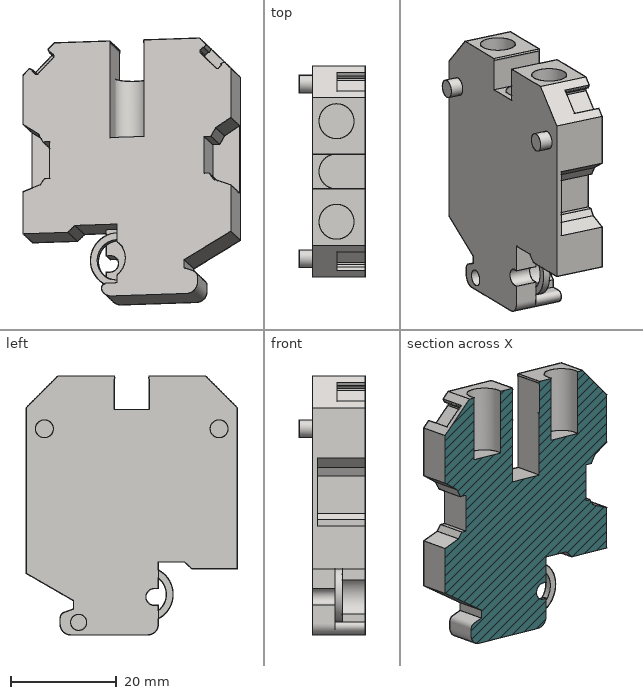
import cadquery as cq
import math

body_width = 10.0
height = 49.0
half_length = 20.0
top_chamfer = 6.05

notch_half = 3.3
notch_floor = 42.7
bead_height = 0.7
bead_reach = 0.1

front_bottom = 12.5
front_bottom_inner = -11.35
rail_ceiling = 13.75
rail_ceiling_end = -10.0
foot_front = -5.05
foot_back = 13.55
foot_corner_radius = 2.05
hook_neck = 11.02
hook_top = 4.95
hook_slope = 20.0
hook_corner_radius = 1.22
rear_slope = 30.0
rear_wall_bottom = 11.65

peg_diameter = 3.4
peg_length = 2.5
peg_offset = 16.5
peg_z = 39.0
foot_hole_diameter = 3.05
foot_hole_y = 10.05
foot_hole_z = 2.4

well_x = 4.55
well_diameter = 6.6
well_offset = 9.5
well_depth = 12.25

label_start = 4.65
label_width = 5.0
label_depth = 1.9
label_barb_depth = 0.75
label_barb_reach = 0.25
label_floor_chamfer = 0.25

entry_start = 1.0
entry_bottom = 20.6
entry_top = 33.5
entry_lead_in_rise = 1.22
entry_lead_in_drop = 1.85
entry_throat_bottom = 23.0
entry_throat_top = 30.05
entry_floor_bend = 3.35
entry_floor_throat = 4.15
entry_roof_bend = 2.9
entry_roof_throat = 3.8
entry_depth = 5.15

slot_y = -4.25
slot_z = 7.2
slot_radius = 1.55
ring_start = 4.3
ring_thickness = 1.35
ring_end = ring_start + ring_thickness
ring_y = -2.65
ring_z = 7.7
ring_radius = 5.2
ring_bore_radius = 3.85
recess_wall = -1.9
ledge_top = 2.5
hollow_radius = 3.95
nose_blend = math.radians(30)


def prism(outline, x_start, x_end):
    """Extrude a closed YZ outline along X."""
    return outline.extrude(x_end - x_start).translate((x_start, 0, 0))


def cylinder_x(y, z, radius, x_start, x_end):
    """Solid cylinder along X."""
    return prism(cq.Workplane("YZ").center(y, z).circle(radius), x_start, x_end)


def mirrored(shape):
    """The shape together with its mirror image across the XZ plane."""
    return shape.union(shape.mirror("XZ"))


def round_edges(body, corners, radius):
    """Fillet the edges that run along X through the given (y, z) corners."""
    for y, z in corners:
        body = body.edges(cq.selectors.NearestToPointSelector((body_width / 2, y, z))).fillet(radius)
    return body


def make_body():
    shoulder = half_length - top_chamfer
    rim = notch_half - bead_reach
    neck_top = rear_wall_bottom - (half_length - hook_neck) * math.tan(math.radians(rear_slope))
    hook_tip = hook_top - (foot_back - hook_neck) * math.tan(math.radians(hook_slope))
    outline = [
        (-half_length, front_bottom),
        (front_bottom_inner, front_bottom),
        (rail_ceiling_end, rail_ceiling),
        (foot_front, rail_ceiling),
        (foot_front, 0),
        (foot_back, 0),
        (foot_back, hook_tip),
        (hook_neck, hook_top),
        (hook_neck, neck_top),
        (half_length, rear_wall_bottom),
        (half_length, height - top_chamfer),
        (shoulder, height),
        (notch_half, height),
        (rim, height - bead_height / 2),
        (notch_half, height - bead_height),
        (notch_half, notch_floor),
        (-notch_half, notch_floor),
        (-notch_half, height - bead_height),
        (-rim, height - bead_height / 2),
        (-notch_half, height),
        (-shoulder, height),
        (-half_length, height - top_chamfer),
    ]
    body = prism(cq.Workplane("YZ").polyline(outline).close(), 0, body_width)
    foot_corners = [(foot_front, 0), (foot_back, 0)]
    body = round_edges(body, foot_corners, foot_corner_radius)
    return round_edges(body, [(foot_back, hook_tip)], hook_corner_radius)


def make_wells():
    """Two round wells in the top face and an open-sided pocket in the notch floor."""
    well_bottom = cq.Workplane("XY", origin=(well_x, well_offset, height - well_depth))
    well = well_bottom.circle(well_diameter / 2).extrude(well_depth)
    pocket_bottom = cq.Workplane("XY", origin=(well_x, 0, notch_floor - well_depth))
    rounded_end = pocket_bottom.circle(well_diameter / 2).extrude(well_depth)
    open_length = body_width - well_x
    open_side = cq.Workplane("XY").box(open_length, 2 * notch_half, well_depth)
    open_side = open_side.translate((well_x + open_length / 2, 0, notch_floor - well_depth / 2))
    notch_span = cq.Workplane("XY").box(2 * body_width, 2 * notch_half, 2 * height)
    pocket = rounded_end.intersect(notch_span).union(open_side)
    return mirrored(well).union(pocket)


def make_label_slots():
    half = label_width / 2
    wall_end = label_depth - label_floor_chamfer
    upper_wall = [
        (0, half),
        (label_barb_depth, half - label_barb_reach),
        (label_barb_depth, half),
        (wall_end, half),
        (label_depth, half - label_floor_chamfer),
    ]
    lower_wall = [(depth, -side) for depth, side in reversed(upper_wall)]
    plane = cq.Plane(
        origin=(label_start, top_chamfer / 2 - half_length, height - top_chamfer / 2),
        xDir=(0, 1, -1),
        normal=(1, 0, 0),
    )
    slot = cq.Workplane(plane).polyline(upper_wall + lower_wall).close()
    return mirrored(slot.extrude(body_width - label_start))


def make_wire_entries():
    depths_and_heights = [
        (0, entry_bottom),
        (entry_floor_bend, entry_bottom + entry_lead_in_rise),
        (entry_floor_throat, entry_throat_bottom),
        (entry_depth, entry_throat_bottom),
        (entry_depth, entry_throat_top),
        (entry_roof_throat, entry_throat_top),
        (entry_roof_bend, entry_top - entry_lead_in_drop),
        (0, entry_top),
    ]
    outline = [(depth - half_length, z) for depth, z in depths_and_heights]
    return mirrored(prism(cq.Workplane("YZ").polyline(outline).close(), entry_start, body_width))


def make_clamp_recess():
    """Space beside the ring, leaving a ledge whose round nose runs smoothly into the foot corner."""
    corner_z = foot_corner_radius
    corner_y = foot_front + foot_corner_radius
    meeting_y = corner_y - foot_corner_radius * math.cos(nose_blend)
    meeting_z = corner_z - foot_corner_radius * math.sin(nose_blend)
    nose_radius = (ledge_top - meeting_z) / (1 + math.sin(nose_blend))
    nose_y = meeting_y + nose_radius * math.cos(nose_blend)
    nose_z = ledge_top - nose_radius
    outline = (
        cq.Workplane("YZ")
        .moveTo(recess_wall, rail_ceiling)
        .lineTo(recess_wall, ledge_top)
        .lineTo(nose_y, ledge_top)
        .threePointArc((nose_y - nose_radius, nose_z), (meeting_y, meeting_z))
        .lineTo(foot_front, meeting_z)
        .lineTo(foot_front, rail_ceiling)
        .close()
    )
    recess = prism(outline, ring_start, body_width)
    hollow = cylinder_x(slot_y, slot_z, hollow_radius, ring_start, body_width)
    return recess.union(hollow)


def make_ring():
    rim = cylinder_x(ring_y, ring_z, ring_radius, ring_start, ring_end)
    return rim.cut(cylinder_x(ring_y, ring_z, ring_bore_radius, ring_start, ring_end))


def make_foot_slot():
    mouth_length = slot_y - foot_front
    mouth = cq.Workplane("XY").box(ring_start, mouth_length, 2 * slot_radius)
    mouth = mouth.translate((ring_start / 2, foot_front + mouth_length / 2, slot_z))
    return cylinder_x(slot_y, slot_z, slot_radius, 0, ring_start).union(mouth)


result = make_body()
result = result.cut(make_wells())
result = result.cut(make_label_slots())
result = result.cut(make_wire_entries())
result = result.cut(make_clamp_recess())
result = result.cut(make_foot_slot())
result = result.union(make_ring())
for side in (-1, 1):
    result = result.union(cylinder_x(side * peg_offset, peg_z, peg_diameter / 2, -peg_length, 0))
result = result.cut(cylinder_x(foot_hole_y, foot_hole_z, foot_hole_diameter / 2, 0, peg_length))